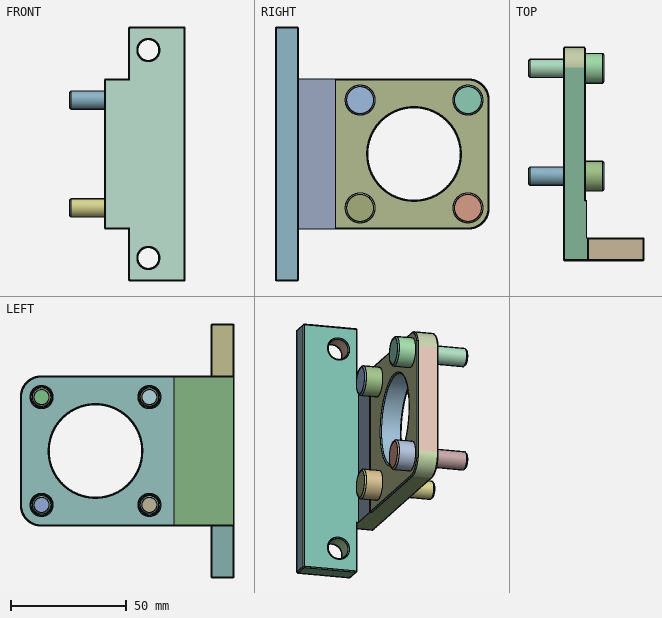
import cadquery as cq

flange_height = 110.0
flange_width = 24.5
flange_thickness = 10.0
flange_hole_diameter = 9.0
flange_hole_spacing = 90.0
flange_hole_to_edge = 16.0

overall_width = 35.0
plate_height = 65.0
plate_depth = 92.5
plate_thickness = 9.6
corner_radius = 9.0
bore_diameter = 40.0

foot_thickness = 10.0
foot_depth = 26.1
foot_relief = 0.1

screw_circle_diameter = 66.0
screw_spacing = screw_circle_diameter / 2**0.5
screw_diameter = 8.0
screw_protrusion = 15.2
screw_hole_diameter = 9.0
head_diameter = 13.0
head_height = 8.0

edge_chamfer = 0.5
screw_tip_chamfer = 0.8
head_chamfer = 0.7

flange_left = overall_width - flange_width
flange_hole_x = overall_width - flange_hole_to_edge
bore_y = plate_depth - plate_height / 2


def block(x_min, x_max, depth, height):
    """Box from Y = 0 to the given depth, centred on Z = 0."""
    box = cq.Workplane("XY").box(x_max - x_min, depth, height, centered=(False, False, True))
    return box.translate((x_min, 0, 0))


def make_body():
    """L-shaped bracket with its edges broken, before any holes."""
    plate = block(0, plate_thickness, plate_depth, plate_height)
    plate = plate.edges(">Y and |X").fillet(corner_radius)
    plate = plate.faces(">X").edges("not <Y").chamfer(edge_chamfer)
    foot = block(0, foot_thickness, foot_depth, plate_height)
    flange = block(flange_left, overall_width, flange_thickness, flange_height)
    flange = flange.faces(">Y").edges().chamfer(edge_chamfer)
    flange = flange.edges("(>Z or <Z) and |Y").chamfer(edge_chamfer)
    web = block(0, flange_left + edge_chamfer, flange_thickness, plate_height)
    return plate.union(foot).union(web).union(flange).clean()


def chamfered_hole(diameter, thickness):
    """Cutter along +Z from the origin: a through hole with both rims chamfered."""
    radius = diameter / 2
    rim_radius = radius + edge_chamfer
    profile = (
        cq.Workplane("XZ")
        .lineTo(rim_radius, 0)
        .lineTo(radius, edge_chamfer)
        .lineTo(radius, thickness - edge_chamfer)
        .lineTo(rim_radius, thickness)
        .lineTo(0, thickness)
        .close()
    )
    return profile.revolve(360, (0, 0, 0), (0, 1, 0))


def plate_hole(diameter):
    """Chamfered hole cutter through the plate, on the X axis."""
    return chamfered_hole(diameter, plate_thickness).rotate((0, 0, 0), (0, 1, 0), 90)


def flange_hole():
    """Chamfered hole cutter through the flange, on the Y axis."""
    return chamfered_hole(flange_hole_diameter, flange_thickness).rotate((0, 0, 0), (1, 0, 0), -90)


def cylinder_along_x(diameter, x_min, x_max):
    """Cylinder on the X axis between two X positions."""
    return cq.Workplane("YZ", origin=(x_min, 0, 0)).circle(diameter / 2).extrude(x_max - x_min)


def make_screw():
    """Cap screw on the X axis, with its head seated on the plate's inner face."""
    shank = cylinder_along_x(screw_diameter, -screw_protrusion, plate_thickness)
    shank = shank.faces("<X").chamfer(screw_tip_chamfer)
    head = cylinder_along_x(head_diameter, plate_thickness, plate_thickness + head_height)
    head = head.faces(">X").chamfer(head_chamfer)
    return shank.union(head)


result = make_body()
result = result.faces("<X or <Y").edges().chamfer(edge_chamfer)
result = result.cut(block(0, foot_relief, foot_depth, plate_height))
result = result.cut(plate_hole(bore_diameter).translate((0, bore_y, 0)))

for side in (-1, 1):
    hole_z = side * flange_hole_spacing / 2
    result = result.cut(flange_hole().translate((flange_hole_x, 0, hole_z)))

for y_side in (-1, 1):
    for z_side in (-1, 1):
        position = (0, bore_y + y_side * screw_spacing / 2, z_side * screw_spacing / 2)
        result = result.cut(plate_hole(screw_hole_diameter).translate(position))
        result = result.union(make_screw().translate(position))